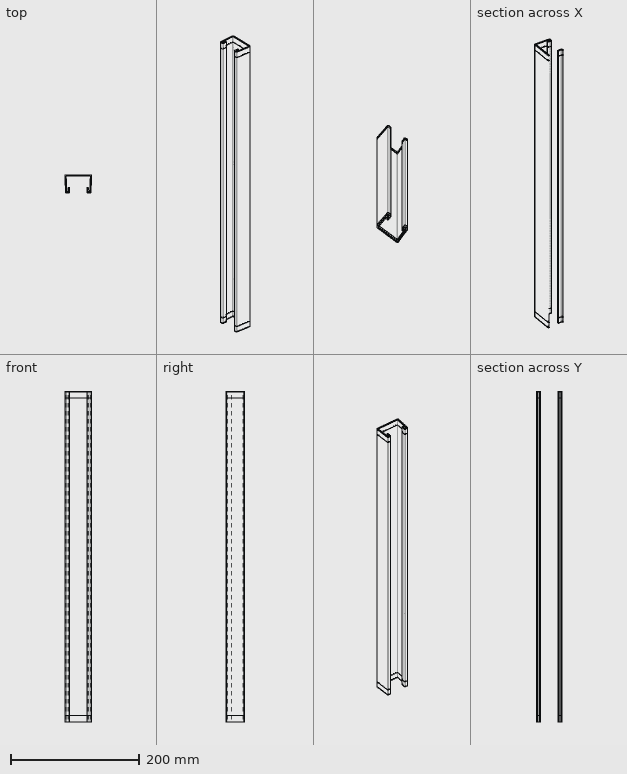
import cadquery as cq
import math

width = 41.88
depth = 28.25
total_length = 515.85

end_length = 10.0
middle_length = total_length - 2 * end_length

sheet = 2.0
leg_tilt = math.radians(2.5)
lip_width = 6.4
lip_height = 8.0

bend_outer = 1.5
bend_inner = 0.5

half_width = width / 2
web_face_y = depth / 2
web_inner_y = web_face_y - sheet
bottom_y = -depth / 2

web_bend_x = half_width - bend_outer
web_bend_y = web_face_y - bend_outer
lip_bend_y = bottom_y + bend_outer

pick_slack = 0.1


def leg_point(inward, along):
    """Point on the +X leg: distance inward from its outer face, and down it from the web bend centre."""
    across = inward - bend_outer
    x = web_bend_x - across * math.cos(leg_tilt) - along * math.sin(leg_tilt)
    y = web_bend_y + across * math.sin(leg_tilt) - along * math.cos(leg_tilt)
    return (x, y)


def leg_point_at_y(inward, y):
    """Point on the +X leg at a given Y."""
    across = inward - bend_outer
    along = (web_bend_y + across * math.sin(leg_tilt) - y) / math.cos(leg_tilt)
    return leg_point(inward, along)


def mirrored(point):
    return (-point[0], point[1])


lip_bend_drop = (web_bend_y - lip_bend_y) / math.cos(leg_tilt)
leg_length = lip_bend_drop + bend_outer

outer_web_corner = leg_point_at_y(0, web_face_y)
outer_lip_corner = leg_point(0, leg_length)
outer_hook_corner = leg_point(lip_width, leg_length)
hook_tip_outer = leg_point(lip_width, leg_length - lip_height)
hook_tip_inner = leg_point(lip_width - sheet, leg_length - lip_height)
inner_hook_corner = leg_point(lip_width - sheet, leg_length - sheet)
inner_lip_corner = leg_point(sheet, leg_length - sheet)
inner_web_corner = leg_point_at_y(sheet, web_inner_y)

half_outline = [
    outer_web_corner,
    outer_lip_corner,
    outer_hook_corner,
    hook_tip_outer,
    hook_tip_inner,
    inner_hook_corner,
    inner_lip_corner,
    inner_web_corner,
]
outline = half_outline + [mirrored(point) for point in reversed(half_outline)]

bends = [
    (outer_web_corner, bend_outer),
    (outer_lip_corner, bend_outer),
    (outer_hook_corner, bend_outer),
    (inner_hook_corner, bend_inner),
    (inner_lip_corner, bend_inner),
    (inner_web_corner, bend_inner),
]


def corner_picker(corner, bottom_z, length):
    x, y = corner
    return cq.selectors.BoxSelector(
        (x - pick_slack, y - pick_slack, bottom_z),
        (x + pick_slack, y + pick_slack, bottom_z + length),
    )


def channel(bottom_z, length):
    """A length of the channel standing on bottom_z, with all its bends rounded."""
    body = cq.Workplane("XY", origin=(0, 0, bottom_z)).polyline(outline).close().extrude(length)
    for corner, radius in bends:
        for place in (corner, mirrored(corner)):
            picker = corner_picker(place, bottom_z, length)
            body = body.edges("|Z").edges(picker).fillet(radius)
    return body


middle_channel = channel(end_length, middle_length)

end_channels = []
for end_bottom_z in (0, total_length - end_length):
    end_channels.append(channel(end_bottom_z, end_length))

result = cq.Compound.makeCompound([
    middle_channel.val(),
    *[end_channel.val() for end_channel in end_channels],
])